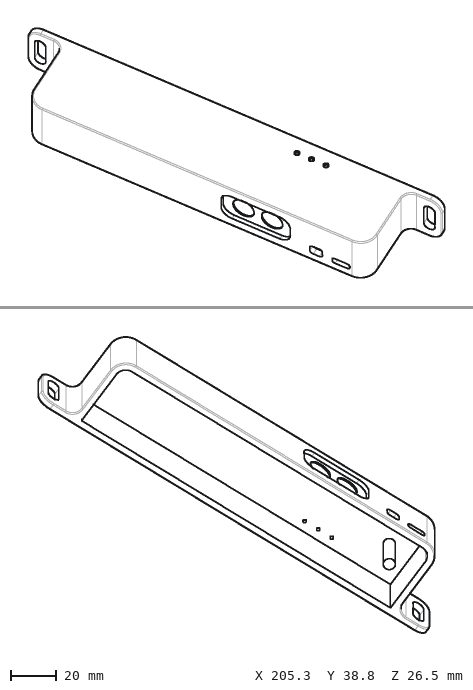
import cadquery as cq

length = 205.3
depth = 38.8
height = 26.5
back_y = depth / 2
front_y = -depth / 2
top_z = height / 2

body_length = 170.0
flange_thickness = 3.3
flange_corner_radius = 6.2
front_corner_radius = 8.2
flange_blend_radius = 5.0
rim_radius = 0.55

selection_margin = 0.2

wall = 3.3
cavity_length = body_length - 2 * wall
cavity_depth = depth - 2 * wall
cavity_corner_radius = front_corner_radius - wall

mount_slot_spacing = 193.0
mount_slot_length = 16.0
mount_slot_width = 5.5

window_x = 29.2
window_length = 34.3
window_height = 15.8
window_corner_radius = 5.3
window_depth = 2.0
lens_spacing = 14.2
lens_diameter = 10.5
lens_depth = 0.6

socket_x = 59.1
socket_z = -6.0
socket_width = 6.4
socket_height = 5.1
socket_corner_radius = 1.6
port_x = 71.5
port_z = -7.0
port_width = 8.8
port_height = 3.3
port_corner_radius = 1.5

indicator_x = 40.5
indicator_spacing = 7.2
indicator_count = 3
indicator_from_back = 7.8
indicator_diameter = 1.5
indicator_countersink = 0.51

post_x = 70.2
post_y = 0.0
post_diameter = 5.3
post_embed = 1.0


def front_block(width, tall, thick, corner_radius, x, z, start_y):
    """Rounded rectangle facing the front, running back from start_y."""
    block = cq.Workplane("XY").box(width, thick, tall).edges("|Y").fillet(corner_radius)
    return block.translate((x, start_y + thick / 2, z))


def make_housing():
    """Box with rounded front corners, blended into a thin flange along its back."""
    body = cq.Workplane("XY").box(body_length, depth, height)
    flange = cq.Workplane("XY").box(length, flange_thickness, height)
    flange = flange.translate((0, back_y - flange_thickness / 2, 0))
    flange = flange.edges("|Y").fillet(flange_corner_radius)
    housing = body.union(flange)
    housing = housing.edges("|Z and <Y").fillet(front_corner_radius)
    root_y = back_y - flange_thickness
    roots = cq.selectors.BoxSelector(
        (-body_length / 2 - selection_margin, root_y - selection_margin, -height),
        (body_length / 2 + selection_margin, root_y + selection_margin, height),
    )
    housing = housing.edges("|Z").edges(roots).fillet(flange_blend_radius)
    return housing.faces(">Z or <Z").edges().fillet(rim_radius)


def make_cavity():
    cavity_height = height - wall
    cavity = cq.Workplane("XY").box(cavity_length, cavity_depth, cavity_height)
    cavity = cavity.edges("|Z and <Y").fillet(cavity_corner_radius)
    return cavity.translate((0, 0, -wall / 2))


def make_post():
    """Round post hanging from the top wall, set slightly into it, ending short of the open side."""
    return (
        cq.Workplane("XY", origin=(post_x, post_y, -top_z + wall))
        .circle(post_diameter / 2)
        .extrude(height - 2 * wall + post_embed)
    )


def make_mount_slots():
    return (
        cq.Workplane("XZ", origin=(0, back_y, 0))
        .rarray(mount_slot_spacing, 2, 2, 1)
        .slot2D(mount_slot_length, mount_slot_width, 90)
        .extrude(flange_thickness)
    )


def make_window():
    """Shallow rounded recess with two round lens seats in its floor."""
    recess = front_block(
        window_length, window_height, window_depth, window_corner_radius, window_x, 0, front_y
    )
    lenses = (
        cq.Workplane("XZ", origin=(window_x, front_y + window_depth, 0))
        .rarray(lens_spacing, 2, 2, 1)
        .circle(lens_diameter / 2)
        .extrude(-lens_depth)
    )
    return recess.union(lenses)


def make_connector_openings():
    socket = front_block(
        socket_width, socket_height, wall, socket_corner_radius, socket_x, socket_z, front_y
    )
    port = front_block(port_width, port_height, wall, port_corner_radius, port_x, port_z, front_y)
    return socket.union(port)


def make_indicator_holes():
    """Row of small through holes, each widened by a countersink at the top face."""
    radius = indicator_diameter / 2
    mouth_radius = radius + indicator_countersink
    hole = (
        cq.Workplane("XZ")
        .moveTo(0, top_z - wall)
        .lineTo(radius, top_z - wall)
        .lineTo(radius, top_z - indicator_countersink)
        .lineTo(mouth_radius, top_z)
        .lineTo(0, top_z)
        .close()
        .revolve(360, (0, 0, 0), (0, 1, 0))
    )
    holes = cq.Workplane("XY")
    for index in range(indicator_count):
        x = indicator_x + (index - (indicator_count - 1) / 2) * indicator_spacing
        holes = holes.add(hole.translate((x, back_y - indicator_from_back, 0)))
    return holes.combine()


result = (
    make_housing()
    .cut(make_cavity())
    .union(make_post())
    .cut(make_mount_slots())
    .cut(make_window())
    .cut(make_connector_openings())
    .cut(make_indicator_holes())
)